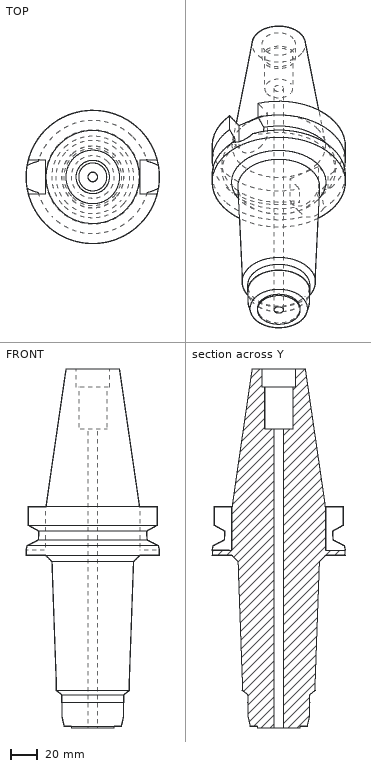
import cadquery as cq


gauge_diameter = 69.85
taper_ratio = 7 / 24
taper_length = 101.8
taper_end_diameter = gauge_diameter - taper_length * taper_ratio

flange_diameter = 100.0
flange_top_z = -1.5
flange_bottom_z = -38.0
groove_center_z = -23.1
groove_floor_diameter = 85.0
groove_floor_width = 6.6
groove_rim_width = 15.3

slot_width = 25.4
slot_bottom_z = -34.0
slot_floor_x = 35.3

neck_chamfer = 4.7
body_top_diameter = 61.3
body_end_diameter = 55.0
body_taper_end_z = -131.2
body_bottom_z = -139.2
shoulder_chamfer_height = 3.2

collar_diameter = 46.6
collar_end_z = -148.2
nose_diameter = 46.2
nose_taper_start_z = -159.1
nose_taper_end_z = -166.0
nose_end_diameter = 43.0
tip_diameter = 32.0
tip_z = -167.4

mouth_diameter = 25.0
mouth_depth = 13.5
stud_hole_diameter = 21.0
stud_hole_depth = 45.0
coolant_hole_diameter = 7.0


def make_revolved_body():
    """Turned outline of shank, flange, body and nose, as (radius, height) points."""
    rim_half = groove_rim_width / 2
    floor_half = groove_floor_width / 2
    flange_radius = flange_diameter / 2
    floor_radius = groove_floor_diameter / 2
    body_top_radius = body_top_diameter / 2
    outline = [
        (0, taper_length),
        (taper_end_diameter / 2, taper_length),
        (gauge_diameter / 2, 0),
        (gauge_diameter / 2, flange_top_z),
        (flange_radius, flange_top_z),
        (flange_radius, groove_center_z + rim_half),
        (floor_radius, groove_center_z + floor_half),
        (floor_radius, groove_center_z - floor_half),
        (flange_radius, groove_center_z - rim_half),
        (flange_radius, flange_bottom_z),
        (body_top_radius + neck_chamfer, flange_bottom_z),
        (body_top_radius, flange_bottom_z - neck_chamfer),
        (body_end_diameter / 2, body_taper_end_z),
        (body_end_diameter / 2, body_bottom_z),
        (collar_diameter / 2, body_bottom_z - shoulder_chamfer_height),
        (collar_diameter / 2, collar_end_z),
        (nose_diameter / 2, collar_end_z),
        (nose_diameter / 2, nose_taper_start_z),
        (nose_end_diameter / 2, nose_taper_end_z),
        (tip_diameter / 2, nose_taper_end_z),
        (tip_diameter / 2, tip_z),
        (0, tip_z),
    ]
    return cq.Workplane("XZ").polyline(outline).close().revolve(360, (0, 0), (0, 1))


def make_drive_slot(side):
    """Round-bottomed slot cutter, open at the flange top, on the +X or -X side."""
    radius = slot_width / 2
    arc_center_z = slot_bottom_z + radius
    return (
        cq.Workplane("YZ", origin=(side * slot_floor_x, 0, 0))
        .moveTo(-radius, flange_top_z)
        .lineTo(-radius, arc_center_z)
        .threePointArc((0, slot_bottom_z), (radius, arc_center_z))
        .lineTo(radius, flange_top_z)
        .close()
        .extrude(side * flange_diameter / 2)
    )


def make_bore(diameter, depth):
    """Cylinder cutter going down from the small end of the taper."""
    return cq.Workplane("XY", origin=(0, 0, taper_length)).circle(diameter / 2).extrude(-depth)


result = make_revolved_body()
for side in (-1, 1):
    result = result.cut(make_drive_slot(side))

bores = [
    (mouth_diameter, mouth_depth),
    (stud_hole_diameter, stud_hole_depth),
    (coolant_hole_diameter, taper_length - tip_z),
]
for diameter, depth in bores:
    result = result.cut(make_bore(diameter, depth))